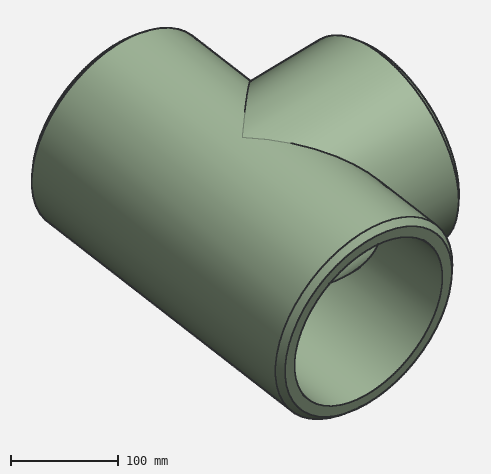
import cadquery as cq

run_length = 355.5
outer_diameter = 219.0
bore_diameter = 182.8
end_chamfer = 6.5
branch_length = run_length / 2


def run_cylinder(diameter):
    """Cylinder along X, centred on the origin."""
    return cq.Workplane("YZ").circle(diameter / 2).extrude(run_length / 2, both=True)


def branch_cylinder(diameter):
    """Cylinder from the run axis out to the branch end at +Y."""
    return cq.Workplane("XZ").circle(diameter / 2).extrude(-branch_length)


run_body = run_cylinder(outer_diameter).faces("<X or >X").edges().chamfer(end_chamfer)
branch_body = branch_cylinder(outer_diameter).faces(">Y").edges().chamfer(end_chamfer)

bores = run_cylinder(bore_diameter).union(branch_cylinder(bore_diameter))

result = run_body.union(branch_body).cut(bores)